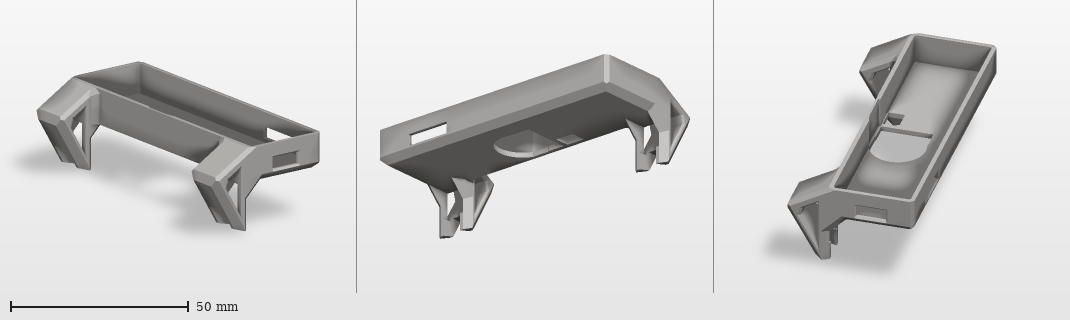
import cadquery as cq
import math


LENGTH = 84.5
TRAY_DEPTH = 25.2
TRAY_HEIGHT = 10.5
WALL = 1.3
FLOOR = 1.5
CAVITY_CORNER = 0.8
BACK_CORNER = 1.1

LEG_WIDTH = 12.3
SLOPE_LENGTH = 15.5
SLOPE_ANGLE = 30.0
BRACE = 4.9
FOOT_DROP = 24.7
FOOT_ANGLE = 15.0
GUSSET = 2.0
SLOPE_CHAMFER = 1.1
GUSSET_SETBACK = 1.6
EDGE_CHAMFER = 2.0

FRAME = 2.5
MOUTH = 0.5
FLARE_ANGLE = 45.0
NOTCH_WIDTH = 6.0
NOTCH_DROP = 18.1
SIDE_WALL = 2.1
PASSAGE_DROP = 19.4

OPENING_FRONT = 1.5
LENS_RADIUS = 8.2
LENS_X = 2.4
LENS_Y = 8.95
LENS_LEFT = -6.3
LENS_BACK = 16.8
RELIEF_FRONT = 0.7
SQUARE_LEFT = -13.8
SQUARE_WIDTH = 6.0
SQUARE_DEPTH = 4.8

SLOT_BOTTOM = -7.9
SLOT_HEIGHT = 3.55
BACK_SLOT_LEFT = 16.7
BACK_SLOT_WIDTH = 14.0
END_SLOT_WIDTH = 8.8
END_SLOT_FLARE = 0.5

HALF = LENGTH / 2
LEG_INNER = HALF - LEG_WIDTH
SLOPE = math.radians(SLOPE_ANGLE)
NOSE = (-SLOPE_LENGTH * math.cos(SLOPE), -SLOPE_LENGTH * math.sin(SLOPE))
APEX_Z = -SLOPE_LENGTH / math.sin(SLOPE)
BRACE_Z = -TRAY_HEIGHT - BRACE
FLOOR_Z = FLOOR - TRAY_HEIGHT
REACH = 2 * FOOT_DROP
MARGIN = 0.85
TOLERANCE = 0.01


def block(x0, x1, y0, y1, z0, z1):
    """Box between opposite corners."""
    return cq.Workplane("XY").box(x1 - x0, y1 - y0, z1 - z0, centered=False).translate((x0, y0, z0))


def side_prism(points, x0, x1):
    """Prism along X with a (Y, Z) outline."""
    return cq.Workplane("YZ", origin=(x0, 0, 0)).polyline(points).close().extrude(x1 - x0)


def both_sides(body):
    """A body on the +X side together with its mirror image."""
    return body.union(body.mirror("YZ"))


def slope_z(y):
    """Height of the sloped plane at a depth Y."""
    return y * math.tan(SLOPE)


def blank():
    """Tray with leg stock, its underside, outer slope and back corner edges broken."""
    outline = [
        (0, 0), (-REACH, slope_z(-REACH)), (-REACH, -REACH), (0, -REACH), (0, BRACE_Z),
        (BRACE, -TRAY_HEIGHT), (TRAY_DEPTH, -TRAY_HEIGHT), (TRAY_DEPTH, 0),
    ]
    below_tray = block(
        -LEG_INNER, LEG_INNER, -REACH - MARGIN, TRAY_DEPTH, -REACH - MARGIN, -TRAY_HEIGHT
    )
    stock = side_prism(outline, -HALF, HALF).cut(below_tray)

    def underside(edge):
        center = edge.Center()
        on_side = abs(edge.tangentAt(0).x) < TOLERANCE
        leg_back = on_side and abs(center.y) < TOLERANCE and center.z < BRACE_Z
        brace = on_side and 0 < center.y < BRACE and BRACE_Z < center.z < -TRAY_HEIGHT
        tray_side = on_side and center.y > BRACE and center.z < TOLERANCE - TRAY_HEIGHT
        tray_back = center.y > TRAY_DEPTH - TOLERANCE and center.z < TOLERANCE - TRAY_HEIGHT
        return leg_back or brace or tray_side or tray_back

    def outer_slope(edge):
        center = edge.Center()
        along_slope = abs(abs(edge.tangentAt(0).z) - math.sin(SLOPE)) < TOLERANCE
        return along_slope and abs(center.x) > HALF - TOLERANCE

    stock = stock.newObject(list(filter(underside, stock.edges().vals()))).chamfer(EDGE_CHAMFER)
    stock = stock.newObject(list(filter(outer_slope, stock.edges().vals()))).chamfer(SLOPE_CHAMFER)
    return stock.edges("|Z and >Y").chamfer(BACK_CORNER)


def under_slope(plan, setback):
    """Column with an (X, Y) plan, topped by the sloped plane.

    The top edge above the first side of the plan is chamfered, by a setback across the slope.
    """
    column = cq.Workplane("XY", origin=(0, 0, -REACH)).polyline(plan).close().extrude(2 * REACH)
    above_slope = [
        (REACH, slope_z(REACH)), (-REACH, slope_z(-REACH)), (-REACH, 2 * REACH), (REACH, 2 * REACH),
    ]
    column = column.cut(side_prism(above_slope, 0, LENGTH))
    middle_x = (plan[0][0] + plan[1][0]) / 2
    middle_y = (plan[0][1] + plan[1][1]) / 2
    edge = cq.selectors.NearestToPointSelector((middle_x, middle_y, slope_z(middle_y)))
    return column.edges(edge).chamfer(SLOPE_CHAMFER, setback)


def leg_envelope():
    """Space that the +X leg and its gusset may fill in front of the tray."""
    leg_plan = [(LEG_INNER, -REACH), (LEG_INNER, GUSSET), (HALF, GUSSET), (HALF, -REACH)]
    gusset_plan = [
        (LEG_INNER - 2 * GUSSET, GUSSET),
        (LEG_INNER + GUSSET, -2 * GUSSET),
        (LEG_INNER + GUSSET, GUSSET),
    ]
    column = under_slope(leg_plan, SLOPE_CHAMFER).union(under_slope(gusset_plan, GUSSET_SETBACK))

    along_face = cq.Plane(
        origin=(0, *NOSE), xDir=(1, 0, 0), normal=(0, math.sin(SLOPE), -math.cos(SLOPE))
    )
    wide_depth = -2 * EDGE_CHAMFER
    section = [
        (0, -REACH), (0, wide_depth), (LEG_INNER, wide_depth),
        (LEG_INNER, -EDGE_CHAMFER), (LEG_INNER + EDGE_CHAMFER, 0),
        (HALF - EDGE_CHAMFER, 0), (HALF, -EDGE_CHAMFER), (HALF, -REACH),
    ]
    face = cq.Workplane(along_face).polyline(section).close().extrude(REACH, both=True)
    return column.intersect(face)


def form_legs(body):
    """Shape the stock in front of the tray into two legs with trimmed noses and feet."""
    stock = block(-HALF - MARGIN, HALF + MARGIN, -2 * REACH, 0, -2 * REACH, MARGIN)
    body = body.cut(stock.cut(both_sides(leg_envelope())))

    nose_top = (
        NOSE[0] + EDGE_CHAMFER * math.cos(SLOPE),
        NOSE[1] + EDGE_CHAMFER * math.sin(SLOPE),
    )
    nose_bottom = (
        NOSE[0] + EDGE_CHAMFER * math.sin(SLOPE),
        NOSE[1] - EDGE_CHAMFER * math.cos(SLOPE),
    )
    nose = side_prism([nose_top, NOSE, nose_bottom], -HALF, HALF)

    foot_front_z = REACH * math.tan(math.radians(FOOT_ANGLE)) - FOOT_DROP
    below_foot = [(0, -FOOT_DROP), (-REACH, foot_front_z), (-REACH, -2 * REACH), (0, -2 * REACH)]
    return body.cut(nose).cut(side_prism(below_foot, -HALF, HALF))


def window_outline(inset):
    """Triangle between leg back, slope and outer face, moved inwards by an inset."""
    y_back = -inset
    top_z = slope_z(y_back) - inset / math.cos(SLOPE)
    bottom_z = APEX_Z + inset / math.tan(SLOPE) + inset / math.sin(SLOPE)
    tip_y = NOSE[0] + inset * (math.cos(SLOPE) + math.sin(SLOPE))
    tip_z = NOSE[1] + inset * (math.sin(SLOPE) - math.cos(SLOPE))
    return [(y_back, top_z), (tip_y, tip_z), (y_back, bottom_z)]


def leg_window():
    """Cutter for the window through the +X leg, flared at both ends."""
    def prism(inset):
        triangle = side_prism(window_outline(inset), LEG_INNER, HALF)
        return triangle.edges("|X and <Y").chamfer(EDGE_CHAMFER)

    def mouth(side):
        rim = prism(FRAME).faces(side).wires().toPending().workplane(invert=True)
        return rim.extrude(MOUTH, taper=FLARE_ANGLE, combine=False)

    return prism(FRAME + MOUTH).union(mouth("<X")).union(mouth(">X"))


def rear_passage():
    """Cutter from the +X leg's window out through its back, below the tray."""
    return block(
        LEG_INNER + SIDE_WALL, HALF - SIDE_WALL, -FRAME - MOUTH, BRACE, -PASSAGE_DROP, -TRAY_HEIGHT
    )


def leg_notch():
    """Cutter for the notch that forks the lower end of the +X leg."""
    middle = HALF - LEG_WIDTH / 2
    return block(
        middle - NOTCH_WIDTH / 2, middle + NOTCH_WIDTH / 2, -REACH, MARGIN, -REACH, -NOTCH_DROP
    )


def cavity():
    """Inside of the tray."""
    inside = block(WALL - HALF, HALF - WALL, WALL, TRAY_DEPTH - WALL, FLOOR_Z, MARGIN)
    return inside.edges("|Z").fillet(CAVITY_CORNER)


def lens_column(front, z0, z1):
    """D-shaped column from Z0 to Z1: a rectangle on the left running into a circle."""
    circle = cq.Workplane("XY", origin=(LENS_X, LENS_Y, z0)).circle(LENS_RADIUS).extrude(z1 - z0)
    return circle.union(block(LENS_LEFT, LENS_X, front, LENS_BACK, z0, z1))


def floor_openings():
    """Lens hole and square hole through the floor, inside the walls."""
    lens = lens_column(OPENING_FRONT, -TRAY_HEIGHT - MARGIN, 0)
    lens = lens.cut(block(-HALF, HALF, -MARGIN, WALL, -TRAY_HEIGHT - MARGIN, 0))
    square = block(
        SQUARE_LEFT, SQUARE_LEFT + SQUARE_WIDTH,
        OPENING_FRONT, OPENING_FRONT + SQUARE_DEPTH,
        -TRAY_HEIGHT - MARGIN, 0,
    )
    return lens.union(square)


def wall_slots():
    """Slots through the back wall and the +X end wall."""
    slot_top = SLOT_BOTTOM + SLOT_HEIGHT
    back = block(
        BACK_SLOT_LEFT, BACK_SLOT_LEFT + BACK_SLOT_WIDTH,
        TRAY_DEPTH - WALL - MARGIN, TRAY_DEPTH + MARGIN, SLOT_BOTTOM, slot_top,
    )
    end_y = (TRAY_DEPTH - END_SLOT_WIDTH) / 2
    end = block(HALF - WALL - MARGIN, HALF, end_y, end_y + END_SLOT_WIDTH, SLOT_BOTTOM, slot_top)
    throat = block(
        HALF - END_SLOT_FLARE, HALF, end_y, end_y + END_SLOT_WIDTH, SLOT_BOTTOM, slot_top
    )
    flare = throat.faces("<X").wires().toPending().workplane(invert=True)
    flare = flare.extrude(END_SLOT_FLARE, taper=-FLARE_ANGLE, combine=False)
    return back.union(end).union(flare)


result = form_legs(blank())
for leg_cutter in (leg_window(), rear_passage(), leg_notch()):
    result = result.cut(both_sides(leg_cutter))
result = result.cut(cavity())
result = result.cut(lens_column(RELIEF_FRONT, FLOOR_Z, MARGIN))
result = result.cut(floor_openings())
result = result.cut(wall_slots())